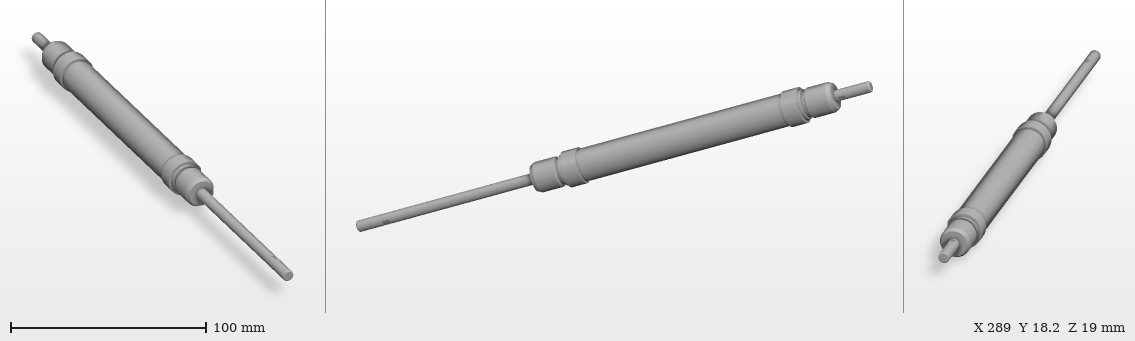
import cadquery as cq

rod_length = 289.0
rod_radius = 3.0
rod_chamfer = 0.5
flat_across = 5.0
flat_length = 4.0
flat_inset = 14.2

cylinder_start = 20.0
cylinder_center = 104.5
thread_start = 22.3
thread_end = 33.8
neck_start = 34.5
neck_end = 36.5
collar_start = 38.1
collar_end = 46.8
tube_start = 48.5

nose_radius = 7.0
thread_radius = 8.0
neck_radius = 7.0
collar_radius = 9.5
groove_radius = 8.5
tube_radius = 8.7


def make_rod():
    """Round rod with chamfered ends and a pair of wrench flats near each end."""
    rod = cq.Workplane("YZ").circle(rod_radius).extrude(rod_length)
    rod = rod.faces("<X or >X").chamfer(rod_chamfer)
    first_flat = flat_inset + flat_length / 2
    for x in (first_flat, rod_length - first_flat):
        for side in (1, -1):
            cutter = cq.Workplane("XY").box(flat_length, 2 * rod_radius, rod_radius)
            offset = side * (flat_across + rod_radius) / 2
            rod = rod.cut(cutter.translate((x, 0, offset)))
    return rod


def make_cylinder():
    """Cylinder with a clear bore for the rod and mirrored heads at both ends of the tube."""
    left_profile = [
        (cylinder_start, rod_radius),
        (cylinder_start, nose_radius),
        (thread_start, thread_radius),
        (thread_end, thread_radius),
        (neck_start, neck_radius),
        (neck_end, neck_radius),
        (neck_end, thread_radius),
        (collar_start, thread_radius),
        (collar_start, collar_radius),
        (collar_end, collar_radius),
        (collar_end, groove_radius),
        (tube_start, groove_radius),
        (tube_start, tube_radius),
    ]
    right_profile = [(2 * cylinder_center - x, radius) for x, radius in reversed(left_profile)]
    profile = cq.Workplane("XZ").polyline(left_profile + right_profile).close()
    cylinder = profile.revolve(360, (0, 0, 0), (1, 0, 0))

    collar_length = collar_end - collar_start
    collar_middle = (collar_start + collar_end) / 2
    cutter = cq.Workplane("XY").box(collar_length, collar_radius, 2 * collar_radius)
    for x in (collar_middle, 2 * cylinder_center - collar_middle):
        cylinder = cylinder.cut(cutter.translate((x, tube_radius + collar_radius / 2, 0)))
    return cylinder


rod = make_rod()
cylinder = make_cylinder()
result = cq.Compound.makeCompound([cylinder.val(), rod.val()])